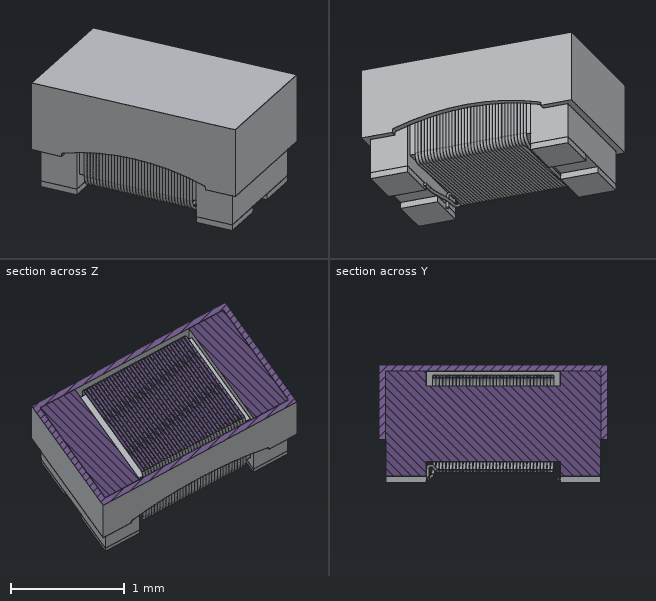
import cadquery as cq
import math


cap_length = 2.01
cap_width = 1.2
total_height = 1.04
cap_bottom = 0.38
cap_roof = 0.058
arch_half_span = 0.71
arch_apex = 0.52
arch_rise = 0.109
arch_corner_radius = 0.02

core_length = 1.89
core_width = 1.077
flange_length = 0.355
bar_bottom = 0.185
flange_inner_x = core_length / 2 - flange_length
core_top = total_height - cap_roof

pad_height = 0.058
pad_gap = 0.265
pad_width = (core_width - pad_gap) / 2

bar_top = core_top - (bar_bottom - pad_height)

wire_diameter = 0.028
wire_radius = wire_diameter / 2
turns_per_wire = 18
lanes_half_span = 0.519
lane_pitch = 2 * lanes_half_span / (2 * turns_per_wire - 1)
bend_height = 0.082
bend_depth = 0.04
bend_shift = 0.006
side_y = 0.502
run_y = side_y - bend_depth
run_bottom = bar_bottom - bend_height
run_top = bar_top + bend_height
run_shift = 2 * (lane_pitch - bend_shift)
bar_width = 2 * (side_y - wire_radius)
QUARTER_CIRCLE = 4 / 3 * (math.sqrt(2) - 1)

lead_x = flange_inner_x - wire_radius
cross_entry_x = 0.537
cross_entry_y = 0.372
cross_entry_z = 0.066
cross_bend = 0.07
cross_end_z = 0.032
cross_straight_y = 0.1
cross_end_y = 0.18
cross_handle = 0.16
direct_y = 0.322
direct_z = 0.153
direct_bend = 0.025
direct_end_z = 0.02
direct_handle = 0.05

UP = cq.Vector(0, 0, 1)
DOWN = cq.Vector(0, 0, -1)
TO_FRONT = cq.Vector(0, -1, 0)
TO_BACK = cq.Vector(0, 1, 0)
TO_RIGHT = cq.Vector(1, 0, 0)
ALONG_RUN = cq.Vector(run_shift, 2 * run_y, 0).normalized()


def box(length, width, bottom, top):
    """Box centred on X and Y, between two heights."""
    return cq.Workplane("XY").workplane(offset=bottom).box(
        length, width, top - bottom, centered=(True, True, False)
    )


def make_cap():
    arch_spring = arch_apex - arch_rise
    arch = (
        cq.Workplane("XZ")
        .moveTo(-arch_half_span, cap_bottom)
        .lineTo(-arch_half_span, arch_spring)
        .threePointArc((0, arch_apex), (arch_half_span, arch_spring))
        .lineTo(arch_half_span, cap_bottom)
        .close()
        .extrude(cap_width / 2, both=True)
        .edges("|Y")
        .edges(">Z")
        .fillet(arch_corner_radius)
    )
    cavity = box(core_length, core_width, cap_bottom, core_top)
    return box(cap_length, cap_width, cap_bottom, total_height).cut(cavity).cut(arch)


def make_core():
    body = box(core_length, core_width, pad_height, core_top)
    winding_space = box(2 * flange_inner_x, core_width, pad_height, core_top)
    bar = box(2 * flange_inner_x, bar_width, bar_bottom, bar_top)
    return body.cut(winding_space).union(bar)


def make_pad(side_x, side):
    """Pad under one flange: side_x is -1 or 1 along X, side is -1 or 1 along Y."""
    return box(flange_length, pad_width, 0, pad_height).translate((
        side_x * (core_length - flange_length) / 2,
        side * (core_width - pad_width) / 2,
        0,
    ))


def lane(number):
    """X of a winding lane, counted from the left."""
    return -lanes_half_span + number * lane_pitch


class WirePath:
    """Chain of straight and smoothly curved stretches that meet tangentially."""

    def __init__(self, start):
        self.start = cq.Vector(*start)
        self.point = self.start
        self.edges = []

    def line(self, *end):
        target = cq.Vector(*end)
        self.edges.append(cq.Edge.makeLine(self.point, target))
        self.point = target

    def curve(self, direction_in, direction_out, end, handle_in, handle_out):
        target = cq.Vector(*end)
        self.edges.append(cq.Edge.makeBezier([
            self.point,
            self.point + direction_in * handle_in,
            target - direction_out * handle_out,
            target,
        ]))
        self.point = target

    def bend(self, direction_in, direction_out, end, radius_in, radius_out):
        """Quarter ellipse with its own radius along each of the two directions."""
        self.curve(direction_in, direction_out, end,
                   QUARTER_CIRCLE * radius_in, QUARTER_CIRCLE * radius_out)


def add_crossing_lead(path):
    """From the front left pad, under the winding, to the bottom of the back left lane."""
    path.line(-lead_x, -cross_straight_y, cross_end_z)
    path.curve(TO_BACK, TO_BACK, (-cross_entry_x, cross_entry_y, cross_entry_z),
               cross_handle, cross_handle)
    path.curve(TO_BACK, UP, (lane(0), side_y, bar_bottom), cross_bend, cross_bend)


def add_turn_top(path, x):
    """Up the back, over the bar and down the front, all in one lane."""
    path.line(x, side_y, bar_top)
    path.bend(UP, TO_FRONT, (x, run_y, run_top), bend_height, bend_depth)
    path.line(x, -run_y, run_top)
    path.bend(TO_FRONT, DOWN, (x, -side_y, bar_top), bend_depth, bend_height)
    path.line(x, -side_y, bar_bottom)


def add_front_bend(path, x):
    """From the front lane at x into the slanting run under the bar."""
    path.bend(DOWN, ALONG_RUN, (x + bend_shift, -run_y, run_bottom), bend_height, bend_depth)


def add_run_to_next_lane(path, next_x):
    """Slanting run under the bar, then the bend into the wire's next lane at the back."""
    path.line(next_x - bend_shift, run_y, run_bottom)
    path.bend(ALONG_RUN, UP, (next_x, side_y, bar_bottom), bend_depth, bend_height)


def add_direct_lead(path):
    """From the front bend, up under the bar, then down to the front right pad."""
    path.curve(ALONG_RUN, TO_RIGHT, (lead_x - direct_bend, -direct_y, direct_z),
               direct_handle, direct_handle / 2)
    path.bend(TO_RIGHT, DOWN, (lead_x, -direct_y, direct_z - direct_bend),
              direct_bend, direct_bend)
    path.line(lead_x, -direct_y, direct_end_z)


def make_winding():
    path = WirePath((-lead_x, -cross_end_y, cross_end_z))
    add_crossing_lead(path)
    for turn in range(turns_per_wire):
        if turn > 0:
            add_run_to_next_lane(path, lane(2 * turn))
        add_turn_top(path, lane(2 * turn))
        add_front_bend(path, lane(2 * turn))
    add_direct_lead(path)

    section = cq.Workplane(cq.Plane(path.start, xDir=(1, 0, 0), normal=(0, 1, 0))).circle(wire_radius)
    return section.sweep(cq.Workplane(obj=cq.Wire.assembleEdges(path.edges)))


cap = make_cap()
core = make_core()
pads = [make_pad(side_x, side) for side_x in (-1, 1) for side in (-1, 1)]

first_winding = make_winding()
windings = [first_winding.rotate((0, 0, 0), (0, 0, 1), angle) for angle in (0, 180)]

result = cq.Compound.makeCompound([
    cap.val(),
    core.val(),
    *[pad.val() for pad in pads],
    *[winding.val() for winding in windings],
])